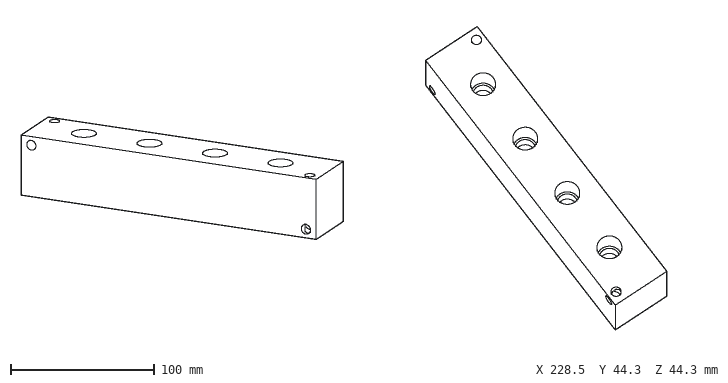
import cadquery as cq
import math

length = 228.5
side = 44.3

mount_diameter = 7.0
mount_end_inset = 8.0
mount_edge_inset = 6.5

port_count = 4
port_pitch = 50.7
port_diameter = 17.4
port_depth = 18.3
drill_diameter = 14.2
drill_depth = 27.5
drill_tip_angle = 118.0


def port_cutter():
    """Wide bore, narrower drill and conical drill tip, opening at Z = 0."""
    drill_radius = drill_diameter / 2
    port_radius = port_diameter / 2
    tip_height = drill_radius / math.tan(math.radians(drill_tip_angle / 2))
    return (
        cq.Workplane("XZ")
        .moveTo(0, 0)
        .lineTo(port_radius, 0)
        .lineTo(port_radius, -port_depth)
        .lineTo(drill_radius, -port_depth)
        .lineTo(drill_radius, -drill_depth)
        .lineTo(0, -drill_depth - tip_height)
        .close()
        .revolve(360, (0, 0, 0), (0, 1, 0))
    )


result = cq.Workplane("XY").box(length, side, side)

mount_x = length / 2 - mount_end_inset
mount_offset = side / 2 - mount_edge_inset
mount_points = [(-mount_x, mount_offset), (mount_x, -mount_offset)]
for plane in ("XY", "XZ"):
    mount_cutters = (
        cq.Workplane(plane)
        .pushPoints(mount_points)
        .circle(mount_diameter / 2)
        .extrude(side, both=True)
    )
    result = result.cut(mount_cutters)

for index in range(port_count):
    port_x = (index - (port_count - 1) / 2) * port_pitch
    result = result.cut(port_cutter().translate((port_x, 0, side / 2)))